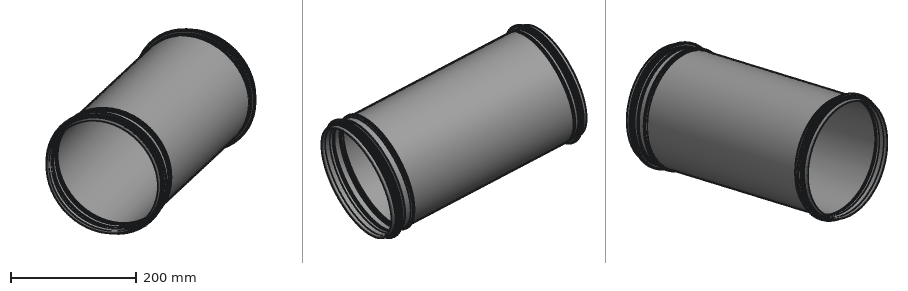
import cadquery as cq

LENGTH = 380.0
OUTER_RADIUS = 198.0 / 2
WALL = 1.33
BORE_RADIUS = OUTER_RADIUS - WALL
GROOVE_RADIUS = 194.0 / 2
GROOVE_DEPTH = OUTER_RADIUS - GROOVE_RADIUS
EDGE_ROUND = 1.0

GROOVE_START = 6.0
GROOVE_FLOOR_START = 7.0
GROOVE_FLOOR_END = 21.3
SHOULDER_START = 23.5
SHOULDER_DROP = 0.8
GROOVE_END = 25.5

BEAD_START = 36.0
BEAD_CREST_START = 38.5
BEAD_CREST_END = 41.8
BEAD_END = 43.7
BEAD_HEIGHT = 2.5
BEAD_INSET = 0.8

BAND_RADIUS = OUTER_RADIUS
STEP_RADIUS = 199.0 / 2
STEP_START = 7.5
SMALL_LIP_RADIUS = 204.5 / 2
SMALL_LIP_START = 10.0
SMALL_LIP_END = 11.8
BAND_END = 16.0
LARGE_LIP_RADIUS = 209.5 / 2
LARGE_LIP_START = 13.3
LARGE_LIP_END = 16.7
LIP_BEVEL = 0.8
BEVEL_RADIUS = 102.5

END_Y = LENGTH / 2


def revolve_about_y(profile):
    """Turn a closed (radius, y) profile into a solid around the Y axis."""
    return profile.close().revolve(360, (0, 0), (0, 1))


def end_to_end(half_outline):
    """Mirror a (radius, distance from end) outline so that it runs from -Y to +Y along the tube."""
    lower = [(r, depth - END_Y) for r, depth in half_outline]
    upper = [(r, -y) for r, y in reversed(lower)]
    return revolve_about_y(cq.Workplane("XY").polyline([(0, -END_Y), *lower, *upper, (0, END_Y)]))


def groove_shoulder(radius):
    """Corners of the sloping groove side next to the plain tube of the given radius."""
    return [
        (radius - GROOVE_DEPTH, GROOVE_FLOOR_END),
        (radius - SHOULDER_DROP, SHOULDER_START),
        (radius, GROOVE_END),
    ]


def bead_ring(radius, inset):
    """Trapezoidal ring rooted just below the given radius, narrowed by the inset on each side."""
    root = radius - WALL / 2
    crest = radius + BEAD_HEIGHT
    outline = [
        (root, BEAD_START + inset),
        (radius, BEAD_START + inset),
        (crest, BEAD_CREST_START + inset),
        (crest, BEAD_CREST_END - inset),
        (radius, BEAD_END - inset),
        (root, BEAD_END - inset),
    ]
    points = [(r, depth - END_Y) for r, depth in outline]
    return revolve_about_y(cq.Workplane("XY").polyline(points))


def make_shell():
    """Thin tube with a bead, a groove at each end and a thicker rim outside each groove."""
    outside = end_to_end([
        (OUTER_RADIUS, 0),
        (OUTER_RADIUS, GROOVE_START),
        (GROOVE_RADIUS, GROOVE_FLOOR_START),
        *groove_shoulder(OUTER_RADIUS),
    ])
    inside = end_to_end([
        (BORE_RADIUS - GROOVE_DEPTH, 0),
        *groove_shoulder(BORE_RADIUS),
    ])
    outside = outside.union(bead_ring(OUTER_RADIUS, 0))
    inside = inside.union(bead_ring(BORE_RADIUS, BEAD_INSET))
    tube = outside.cut(inside)
    return tube.faces("<Y or >Y").edges().fillet(EDGE_ROUND)


def make_gasket(side):
    """Double-lip gasket at the -Y end (side = -1) or the +Y end (side = 1)."""
    outline = [
        (GROOVE_RADIUS, GROOVE_FLOOR_START),
        (BAND_RADIUS, GROOVE_START),
        (STEP_RADIUS, STEP_START),
        (STEP_RADIUS, SMALL_LIP_START),
        (SMALL_LIP_RADIUS, SMALL_LIP_START),
        (SMALL_LIP_RADIUS, SMALL_LIP_END),
        (BAND_RADIUS, SMALL_LIP_END),
        (BAND_RADIUS, LARGE_LIP_START),
        (LARGE_LIP_RADIUS, LARGE_LIP_START),
        (LARGE_LIP_RADIUS, LARGE_LIP_END - LIP_BEVEL),
        (BEVEL_RADIUS, LARGE_LIP_END),
        (BAND_RADIUS, LARGE_LIP_END),
        (GROOVE_RADIUS, BAND_END),
    ]
    points = [(r, side * (END_Y - depth)) for r, depth in outline]
    return revolve_about_y(cq.Workplane("XY").polyline(points))


shell = make_shell()
gaskets = [make_gasket(side) for side in (-1, 1)]

result = cq.Compound.makeCompound([shell.val(), *[gasket.val() for gasket in gaskets]])